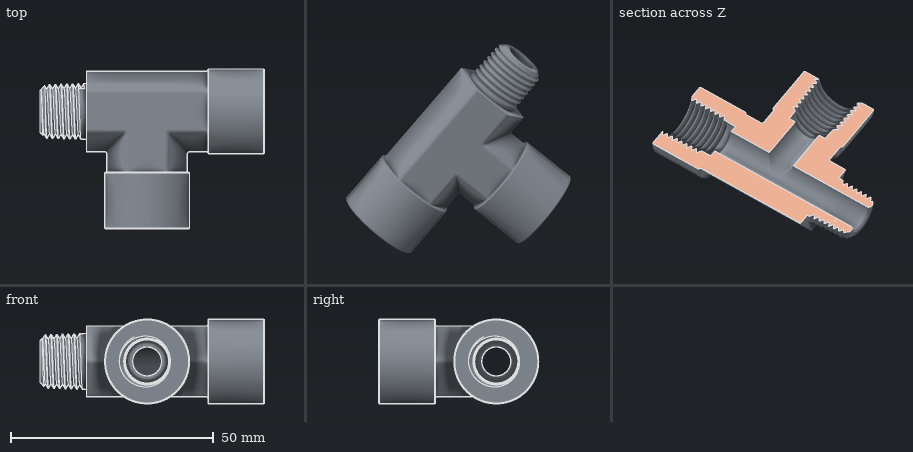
import cadquery as cq
import math


total_length = 55.5
outlet_reach = 29.0
male_reach = total_length - outlet_reach
body_reach = 15.0
tolerance = 0.0005

across_flats = 17.55
across_corners = across_flats / math.cos(math.radians(30))
edge_round = 1.0
valley_round = 0.55

outlet_radius = 10.5
outlet_length = outlet_reach - body_reach
outlet_chamfer = 0.2
outlet_root_fillet = 0.3

bore_radius = 3.55
bore_chamfer = 0.45

thread_run = 9.95
run_pitches = 7
pitch = thread_run / run_pitches
thread_depth = 1.1
flank_angle = 30
groove_width = 2 * thread_depth * math.tan(math.radians(flank_angle))
taper = 1 / 32
taper_angle = math.degrees(math.atan(taper))
seam_angle = -60
overcut = 0.3

collar_radius = 6.95
stud_length = male_reach - body_reach
tip_chamfer = 1.45
tip_radius = 5.15
crest_radius_at_tip = collar_radius - taper * stud_length
last_groove_offset = 10.2
male_turns = 8
male_runout = 35 / 360

mouth_radius = 5.75
socket_depth = outlet_length
socket_bottom_radius = mouth_radius - taper * socket_depth
female_turns = math.floor(socket_depth / pitch)


def on_branch(shape):
    """Turn a shape made along +X onto the -Y branch."""
    return shape.rotate((0, 0, 0), (0, 0, 1), -90)


def hex_prism(length):
    """Hexagonal bar from the origin along +X: flats on top and bottom, side corners rounded."""
    bar = cq.Workplane("YZ").polygon(6, across_corners).extrude(length)
    return bar.edges("|X").edges("<Y or >Y").fillet(edge_round)


def tapered_rod(start_radius, end_radius, length):
    """Cone frustum along +Z from the origin, its seam turned clear of the thread start."""
    profile = [(0, 0), (start_radius, 0), (end_radius, length), (0, length)]
    rod = cq.Workplane("XZ").polyline(profile).close().revolve(360, (0, 0), (0, 1))
    return rod.rotate((0, 0, 0), (0, 0, 1), seam_angle)


def thread_cutter(surface_radius, turns, cone_angle, depth_direction):
    """V-shaped helical cutter climbing +Z from the +X side.

    depth_direction is -1 for a groove cut inward and +1 for one cut outward.
    """
    path = cq.Wire.makeHelix(pitch, turns * pitch, surface_radius, angle=cone_angle)
    half_width = groove_width / 2
    root = surface_radius + depth_direction * thread_depth
    clear = surface_radius - depth_direction * overcut
    profile = [
        (surface_radius, -half_width),
        (root, 0),
        (surface_radius, half_width),
        (clear, half_width),
        (clear, -half_width),
    ]
    return cq.Workplane("XZ").polyline(profile).close().sweep(cq.Workplane(path), isFrenet=True)


def body():
    """Main and branch hexagonal bars with rounded edges and valleys."""
    main = hex_prism(2 * body_reach).translate((-body_reach, 0, 0))
    branch = on_branch(hex_prism(body_reach))
    tee = main.union(branch)

    def in_valley(edge):
        center = edge.Center()
        return abs(abs(center.x) + center.y) < tolerance

    def runs_along_bar(edge):
        center = edge.Center()
        return max(abs(center.x), -center.y) < body_reach - tolerance

    tee = tee.edges().filter(in_valley).fillet(valley_round)
    return tee.faces(">Z or <Z").edges().filter(runs_along_bar).fillet(edge_round)


def outlet():
    """Round female end along +X, solid."""
    end = cq.Workplane("YZ").workplane(offset=body_reach).circle(outlet_radius).extrude(outlet_length)
    return end.faces("<X or >X").chamfer(outlet_chamfer)


def socket_hole():
    """Plain taper hole of the +X outlet, before threading."""
    hole = tapered_rod(mouth_radius, socket_bottom_radius, socket_depth)
    return into_outlet(hole)


def socket_groove():
    """Thread groove of the +X outlet, starting one pitch outside the mouth."""
    lead_in_radius = mouth_radius + taper * pitch
    groove = thread_cutter(lead_in_radius, female_turns, -taper_angle, 1)
    return into_outlet(groove.translate((0, 0, -pitch)))


def into_outlet(cutter):
    """Lay a +Z cutter into the +X outlet from its face, the cutter's +X side facing -Y."""
    turned = cutter.rotate((0, 0, 0), (0, 1, 0), -90).rotate((0, 0, 0), (1, 0, 0), 90)
    return turned.translate((outlet_reach, 0, 0))


def from_male_tip(shape):
    """Lay a +Z shape along +X from the male tip, the shape's +X side facing +Y."""
    return shape.rotate((0, 0, 0), (1, 1, 1), 120).translate((-male_reach, 0, 0))


def male_blank():
    """Tapered male end with its tip chamfer, before threading."""
    blank = tapered_rod(crest_radius_at_tip, collar_radius, stud_length)
    blank = blank.faces("<Z").chamfer(tip_chamfer, crest_radius_at_tip - tip_radius)
    return from_male_tip(blank)


def male_groove():
    """Thread groove of the male end, starting outside the tip and stopping at the collar."""
    start = last_groove_offset - male_turns * pitch
    start_radius = crest_radius_at_tip + taper * start
    groove = thread_cutter(start_radius, male_turns + male_runout, taper_angle, -1)
    return from_male_tip(groove.translate((0, 0, start)))


def root_fillet(tee):
    """Small fillet where the hexagonal bars meet the back faces of the outlets."""

    def at_outlet_root(edge):
        box = edge.BoundingBox()
        on_main = box.xmin > body_reach - tolerance and box.xmax < body_reach + tolerance
        on_branch_face = box.ymin > -body_reach - tolerance and box.ymax < -body_reach + tolerance
        is_outlet_rim = edge.geomType() == "CIRCLE" and edge.radius() > edge_round + tolerance
        return (on_main or on_branch_face) and not is_outlet_rim

    return tee.edges().filter(at_outlet_root).fillet(outlet_root_fillet)


main_bore = cq.Workplane("YZ").workplane(offset=-male_reach).circle(bore_radius).extrude(total_length)
branch_bore = cq.Workplane("XZ").circle(bore_radius).extrude(outlet_reach)
mouth_cone = from_male_tip(tapered_rod(bore_radius + bore_chamfer, bore_radius, bore_chamfer))

tee = root_fillet(body().union(outlet()).union(on_branch(outlet())))
tee = tee.union(male_blank())
tee = tee.cut(main_bore).cut(branch_bore).cut(mouth_cone)
tee = tee.cut(socket_hole()).cut(on_branch(socket_hole()))
tee = tee.cut(male_groove())
result = tee.cut(socket_groove()).cut(on_branch(socket_groove()))